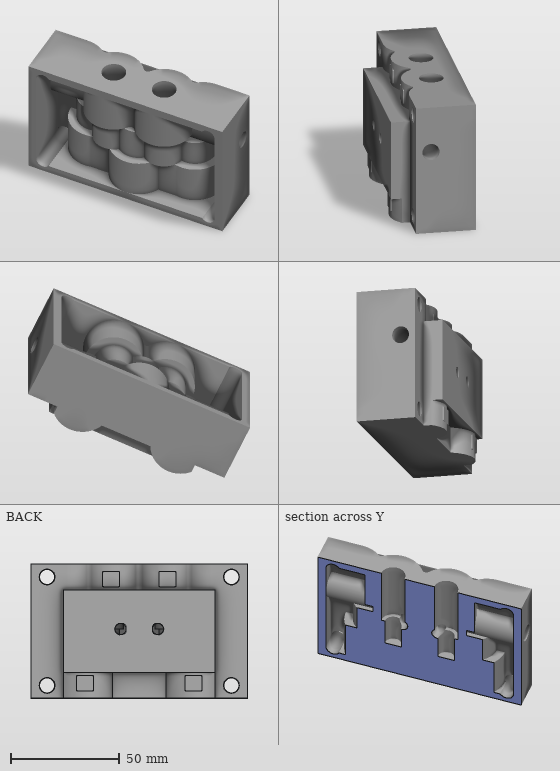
import cadquery as cq
import math

LENGTH = 100.0
DEPTH = 28.0
HEIGHT = 62.0
WALL = 4.0
BACK_WALL = 6.0
CAVITY_CORNER_R = 2.0

PAD_LENGTH = 70.0
PAD_THICKNESS = 9.0
PAD_BOTTOM = 12.0
PAD_TOP = 50.0
BACK_Y = DEPTH + PAD_THICKNESS

LARGE_R = DEPTH / 2
SMALL_R = 10.0

UPPER_X = 13.0
UPPER_Y = LARGE_R
UPPER_STEP_Z = 39.0
VALLEY_FILLET = 2.0

LOWER_SIDE_X = 25.0
LOWER_SIDE_Y = 22.0
LOWER_CENTER_Y = LARGE_R
LOWER_STEP_Z = 23.0
LOWER_SIDE_TOP_Z = 36.0
WEB_FRONT_Y = 8.3

SHOULDER_X = UPPER_X + 20.0

FLAT_WIDTH = 8.0
FLAT_HEIGHT = 7.0
FLAT_CORNER_R = 0.5
FLAT_EDGE_Z = 7.0
FLAT_DEPTH = 1.0

BORE_R = 5.7
BORE_DEPTH = 30.0
PILOT_R = 4.0
PILOT_DEPTH = 44.0

PORT_X = 8.6
PORT_R = 2.6
PORT_END_Y = UPPER_Y

INLET_Y = 21.0
INLET_Z = 40.0
INLET_R = 4.0
TUBE_R = 6.5

FIXING_R = 3.5
FIXING_EDGE_X = WALL + FIXING_R
FIXING_EDGE_Z = 6.0


def post(x, y, radius, z_bottom, z_top):
    """Vertical cylinder between two heights."""
    return cq.Workplane("XY", origin=(x, y, z_bottom)).circle(radius).extrude(z_top - z_bottom)


def box(x_min, x_max, y_min, y_max, z_min, z_max):
    """Box between two opposite corners."""
    size = (x_max - x_min, y_max - y_min, z_max - z_min)
    return cq.Workplane("XY", origin=(x_min, y_min, z_min)).box(*size, centered=False)


def with_mirror(left):
    """A feature together with its mirror image on the other side of x = 0."""
    return left.union(left.mirror("YZ"))


def valley(x_start, x_end, side):
    """Left end, lowest point and right end of the fillet between two large circles.

    Both circles lie on y = UPPER_Y; side is +1 for their backs and -1 for their fronts.
    """
    half_gap = (x_end - x_start) / 2
    reach = LARGE_R + VALLEY_FILLET
    rise = math.sqrt(reach**2 - half_gap**2)
    share = LARGE_R / reach
    tangent_y = UPPER_Y + side * rise * share
    left = (x_start + half_gap * share, tangent_y)
    low = (x_start + half_gap, UPPER_Y + side * (rise - VALLEY_FILLET))
    right = (x_end - half_gap * share, tangent_y)
    return left, low, right


def hollow_block():
    half = LENGTH / 2
    block = box(-half, half, 0, DEPTH, 0, HEIGHT)
    cavity = box(WALL - half, half - WALL, 0, DEPTH - BACK_WALL, WALL, HEIGHT - WALL)
    return block.cut(cavity.edges("|Y").fillet(CAVITY_CORNER_R))


def mounting_pad():
    half = PAD_LENGTH / 2
    return box(-half, half, DEPTH - BACK_WALL, BACK_Y, PAD_BOTTOM, PAD_TOP)


def upper_bosses():
    large_end = post(-UPPER_X, UPPER_Y, LARGE_R, UPPER_STEP_Z, HEIGHT)
    small_end = post(-UPPER_X, UPPER_Y, SMALL_R, LOWER_STEP_Z, UPPER_STEP_Z)
    left, low, right = valley(-UPPER_X, UPPER_X, -1)
    neck = (
        cq.Workplane("XY", origin=(0, 0, UPPER_STEP_Z))
        .moveTo(left[0], DEPTH)
        .lineTo(*left)
        .threePointArc(low, right)
        .lineTo(right[0], DEPTH)
        .close()
        .extrude(HEIGHT - UPPER_STEP_Z)
    )
    return with_mirror(large_end.union(small_end)).union(neck)


def lower_bosses():
    body = box(-LOWER_SIDE_X, LOWER_SIDE_X, WEB_FRONT_Y, DEPTH, 0, LOWER_STEP_Z)
    places = (
        (-LOWER_SIDE_X, LOWER_SIDE_Y, LOWER_SIDE_TOP_Z),
        (0, LOWER_CENTER_Y, UPPER_STEP_Z),
        (LOWER_SIDE_X, LOWER_SIDE_Y, LOWER_SIDE_TOP_Z),
    )
    for x, y, top_z in places:
        body = body.union(post(x, y, LARGE_R, 0, LOWER_STEP_Z))
        body = body.union(post(x, y, SMALL_R, LOWER_STEP_Z, top_z))
    overhang = box(-LENGTH / 2, -PAD_LENGTH / 2, DEPTH, BACK_Y, 0, HEIGHT)
    return body.cut(with_mirror(overhang))


def scallop_relief():
    """Material behind the scalloped outline of the top wall, above the pad."""
    crest_y = UPPER_Y + LARGE_R
    centres = (-SHOULDER_X, -UPPER_X, UPPER_X, SHOULDER_X)
    relief = cq.Workplane("XY")
    for x_start, x_end in zip(centres, centres[1:]):
        left, low, right = valley(x_start, x_end, 1)
        notch = (
            cq.Workplane("XY", origin=(0, 0, PAD_TOP))
            .moveTo(x_start, BACK_Y)
            .lineTo(x_start, crest_y)
            .radiusArc(left, LARGE_R)
            .threePointArc(low, right)
            .radiusArc((x_end, crest_y), LARGE_R)
            .lineTo(x_end, BACK_Y)
            .close()
            .extrude(HEIGHT - PAD_TOP)
        )
        relief = relief.add(notch)
    return relief.combine()


def boss_flat(x, back_y, z):
    """Flat patch tangent to the back of a round boss."""
    flat = (
        cq.Workplane("XZ", origin=(x, back_y, z))
        .rect(FLAT_WIDTH, FLAT_HEIGHT)
        .extrude(FLAT_DEPTH)
    )
    return flat.edges("|Y").fillet(FLAT_CORNER_R)


def boss_flats():
    upper = boss_flat(-UPPER_X, UPPER_Y + LARGE_R, HEIGHT - FLAT_EDGE_Z)
    lower = boss_flat(-LOWER_SIDE_X, LOWER_SIDE_Y + LARGE_R, FLAT_EDGE_Z)
    return with_mirror(upper).union(with_mirror(lower))


def side_cylinders(radius, inner_x):
    """Cylinders along X from both ends of the block in to x = +/- inner_x."""
    plane = cq.Workplane("YZ", origin=(-LENGTH / 2, INLET_Y, INLET_Z))
    return with_mirror(plane.circle(radius).extrude(LENGTH / 2 - inner_x))


def bores_and_ports():
    step_z = HEIGHT - BORE_DEPTH
    bore = post(-UPPER_X, UPPER_Y, BORE_R, step_z, HEIGHT)
    pilot = post(-UPPER_X, UPPER_Y, PILOT_R, HEIGHT - PILOT_DEPTH, HEIGHT)
    port = (
        cq.Workplane("XZ", origin=(-PORT_X, BACK_Y, step_z))
        .circle(PORT_R)
        .extrude(BACK_Y - PORT_END_Y)
    )
    return with_mirror(bore.union(pilot).union(port))


def fixing_holes():
    return (
        cq.Workplane("XZ", origin=(0, 0, HEIGHT / 2))
        .rect(LENGTH - 2 * FIXING_EDGE_X, HEIGHT - 2 * FIXING_EDGE_Z, forConstruction=True)
        .vertices()
        .circle(FIXING_R)
        .extrude(-DEPTH)
    )


result = (
    hollow_block()
    .union(mounting_pad())
    .union(lower_bosses())
    .union(upper_bosses())
    .union(side_cylinders(TUBE_R, UPPER_X))
    .cut(scallop_relief())
    .union(boss_flats())
    .cut(side_cylinders(INLET_R, LOWER_SIDE_X))
    .cut(bores_and_ports())
    .cut(fixing_holes())
)